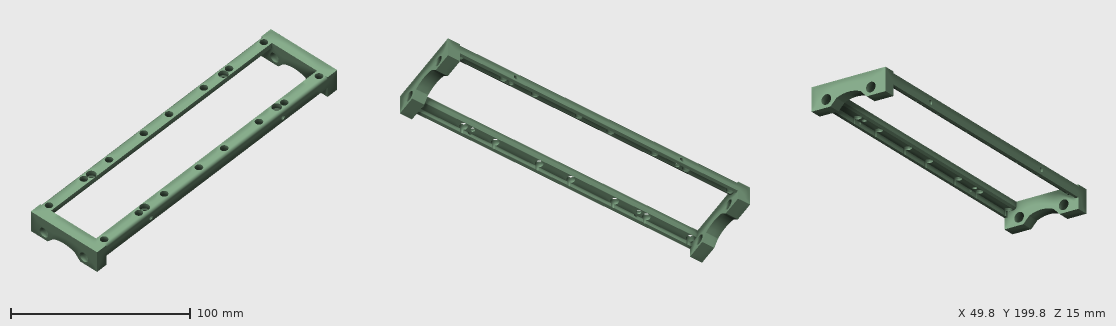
import cadquery as cq

length = 199.8
width = 49.8
height = 15.0
end_thickness = 8.0
rail_width = 8.0
rail_height = 8.0
flange_thickness = 4.8
flange_lip_thickness = 3.5
skirt_thickness = 2.0
edge_radius = 2.0
inner_length = length - 2 * end_thickness
inner_width = width - 2 * rail_width

arch_height = 6.0
arch_shoulder_x = 8.2
arch_shoulder_z = 4.2
arch_foot_x = 12.2

end_hole_diameter = 6.4
end_hole_x = 15.0
end_hole_z = 5.0

mount_diameter = 4.8
mount_span = 41.4
mount_x = mount_span / 2
module_count = 4
module_pitch = length / module_count
mount_spacing = 29.0

screw_diameter = 3.0
counterbore_diameter = 6.0
counterbore_depth = 3.5
screw_x = 20.0
screw_y = 55.0
cross_diameter = 2.8
cross_z = height - 5.0


def make_frame():
    """Frame with two tall end blocks joined by two shallower L-section side rails.

    The lower inner edge of each rail flange has a 45 degree chamfer.
    """
    block = cq.Workplane("XY").box(width, length, height, centered=(True, True, False))
    window = cq.Workplane("XY").box(inner_width, inner_length, height, centered=(True, True, False))
    under_rails = cq.Workplane("XY").box(
        width, inner_length, height - rail_height, centered=(True, True, False)
    )
    skirt_x = width / 2 - skirt_thickness
    flange_bottom = height - flange_thickness
    lip_bottom = height - flange_lip_thickness
    lip_x = inner_width / 2
    chamfer_x = lip_x + lip_bottom - flange_bottom
    under_flanges = (
        cq.Workplane("XZ")
        .polyline([
            (-skirt_x, 0),
            (-skirt_x, flange_bottom),
            (-chamfer_x, flange_bottom),
            (-lip_x, lip_bottom),
            (lip_x, lip_bottom),
            (chamfer_x, flange_bottom),
            (skirt_x, flange_bottom),
            (skirt_x, 0),
        ])
        .close()
        .extrude(inner_length / 2, both=True)
    )
    return block.cut(window).cut(under_rails).cut(under_flanges)


def make_edge_rounding(side):
    """Material outside the rounded upper outer edge of one rail."""
    outer_x = side * width / 2
    center_x = outer_x - side * edge_radius
    center_z = height - edge_radius
    strip = (
        cq.Workplane("XY")
        .box(edge_radius, inner_length, edge_radius)
        .translate((outer_x - side * edge_radius / 2, 0, height - edge_radius / 2))
    )
    round_bar = (
        cq.Workplane("XZ")
        .center(center_x, center_z)
        .circle(edge_radius)
        .extrude(inner_length / 2, both=True)
    )
    return strip.cut(round_bar)


def make_arch():
    """Arched relief with straight flared feet, along the full length."""
    return (
        cq.Workplane("XZ")
        .moveTo(-arch_foot_x, 0)
        .lineTo(-arch_shoulder_x, arch_shoulder_z)
        .threePointArc((0, arch_height), (arch_shoulder_x, arch_shoulder_z))
        .lineTo(arch_foot_x, 0)
        .close()
        .extrude(length / 2, both=True)
    )


def make_end_holes():
    return (
        cq.Workplane("XZ")
        .pushPoints([(-end_hole_x, end_hole_z), (end_hole_x, end_hole_z)])
        .circle(end_hole_diameter / 2)
        .extrude(length / 2, both=True)
    )


def make_mount_holes():
    points = []
    for module in range(module_count):
        module_y = (module - (module_count - 1) / 2) * module_pitch
        for side_x in (-mount_x, mount_x):
            points.append((side_x, module_y - mount_spacing / 2))
            points.append((side_x, module_y + mount_spacing / 2))
    return cq.Workplane("XY").pushPoints(points).circle(mount_diameter / 2).extrude(height)


def make_counterbored_holes():
    grid = cq.Workplane("XY").rarray(2 * screw_x, 2 * screw_y, 2, 2)
    through_holes = grid.circle(screw_diameter / 2).extrude(height)
    counterbores = (
        cq.Workplane("XY", origin=(0, 0, height))
        .rarray(2 * screw_x, 2 * screw_y, 2, 2)
        .circle(counterbore_diameter / 2)
        .extrude(-counterbore_depth)
    )
    return through_holes.union(counterbores)


def make_cross_holes(side):
    """Two cross holes through the skirt of one rail."""
    return (
        cq.Workplane("YZ", origin=(side * width / 2, 0, 0))
        .pushPoints([(-screw_y, cross_z), (screw_y, cross_z)])
        .circle(cross_diameter / 2)
        .extrude(-side * skirt_thickness)
    )


result = make_frame()
for rail_side in (-1, 1):
    result = result.cut(make_edge_rounding(rail_side)).cut(make_cross_holes(rail_side))
result = (
    result.cut(make_arch())
    .cut(make_end_holes())
    .cut(make_mount_holes())
    .cut(make_counterbored_holes())
)